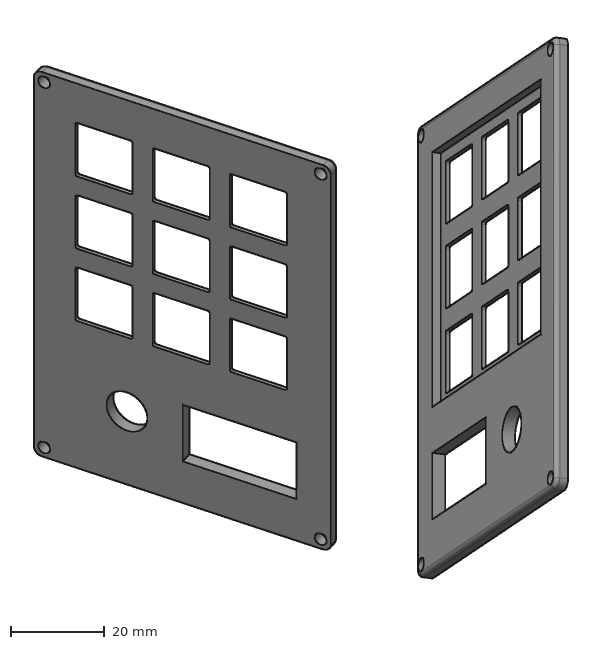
import cadquery as cq

width = 73.0
height = 101.0
thickness = 3.0
front_y = -thickness / 2
back_y = thickness / 2
corner_radius = 2.0
back_edge_radius = 1.0

screw_diameter = 2.9
screw_edge_distance = 2.5

key_count = 3
key_size = 14.0
key_pitch = 19.0
key_corner_radius = 0.5
key_grid_x = -0.3
key_grid_z = 14.1

key_web_thickness = 1.0
recess_margin = 2.5

knob_diameter = 10.0
knob_x = -13.6
knob_z = -31.3
window_width = 28.0
window_height = 14.8
window_x = 14.0
window_z = -32.1


def block(size_x, size_z, x, z, y_start, y_end):
    """Rectangular block centred on (x, z), running from y_start to y_end."""
    return (
        cq.Workplane("XY")
        .box(size_x, y_end - y_start, size_z)
        .translate((x, (y_start + y_end) / 2, z))
    )


def round_hole(diameter, x, z):
    """Cylinder along Y that passes through the whole plate."""
    return (
        cq.Workplane("XZ", origin=(x, back_y, z))
        .circle(diameter / 2)
        .extrude(thickness)
    )


def make_plate():
    """Plate with rounded corners and a rounded back edge."""
    plate = block(width, height, 0, 0, front_y, back_y)
    plate = plate.edges("|Y").fillet(corner_radius)
    return plate.faces(">Y").edges().fillet(back_edge_radius)


def cut_screw_holes(plate):
    screw_x = width / 2 - screw_edge_distance
    screw_z = height / 2 - screw_edge_distance
    for side_x in (-1, 1):
        for side_z in (-1, 1):
            plate = plate.cut(round_hole(screw_diameter, side_x * screw_x, side_z * screw_z))
    return plate


def cut_keys(plate):
    """Square openings on an even grid, with a shared recess behind them."""
    middle = (key_count - 1) / 2
    for column in range(key_count):
        for row in range(key_count):
            x = key_grid_x + (column - middle) * key_pitch
            z = key_grid_z + (row - middle) * key_pitch
            opening = block(key_size, key_size, x, z, front_y, back_y)
            plate = plate.cut(opening.edges("|Y").fillet(key_corner_radius))

    recess_size = (key_count - 1) * key_pitch + key_size + 2 * recess_margin
    recess_floor_y = front_y + key_web_thickness
    recess = block(recess_size, recess_size, key_grid_x, key_grid_z, recess_floor_y, back_y)
    return plate.cut(recess)


def cut_knob_and_window(plate):
    plate = plate.cut(round_hole(knob_diameter, knob_x, knob_z))
    window = block(window_width, window_height, window_x, window_z, front_y, back_y)
    return plate.cut(window)


result = cut_knob_and_window(cut_keys(cut_screw_holes(make_plate())))